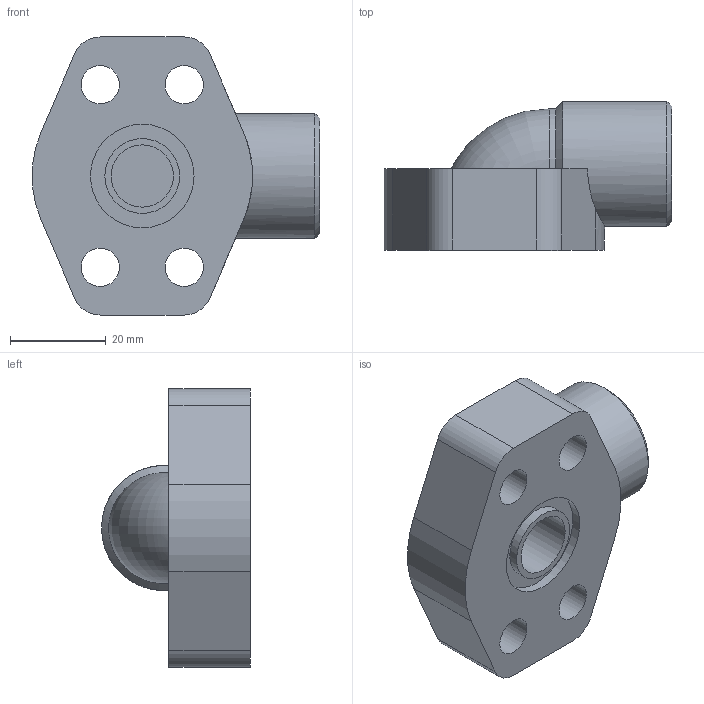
import cadquery as cq
import math

FLANGE_THICKNESS = 17.0
FLANGE_HEIGHT = 58.0
SIDE_RADIUS = 23.0
CORNER_RADIUS = 5.8

BOLT_SPACING_X = 17.5
BOLT_SPACING_Z = 38.1
BOLT_HOLE_DIAMETER = 8.0

PORT_DIAMETER = 13.0
PORT_DEPTH = FLANGE_THICKNESS
GROOVE_INNER_DIAMETER = 15.6
GROOVE_OUTER_DIAMETER = 21.6
GROOVE_DEPTH = 2.0

OUTLET_AXIS_Y = 18.0
OUTLET_END_X = 37.0
COLLAR_RADIUS = 13.04
COLLAR_STEP = 1.5
COLLAR_STEP_START_X = 12.8
COLLAR_END_CHAMFER = 1.0
ELBOW_RADIUS = COLLAR_RADIUS - COLLAR_STEP
BEND_RADIUS = ELBOW_RADIUS


def flange_outline():
    """Hexagonal outline with round sides centred on the port and rounded corners."""
    half_height = FLANGE_HEIGHT / 2
    corner_x = BOLT_SPACING_X / 2
    corner_z = half_height - CORNER_RADIUS

    corner_direction = math.atan2(corner_z, corner_x)
    corner_distance = math.hypot(corner_x, corner_z)
    tangent_angle = corner_direction - math.acos((SIDE_RADIUS - CORNER_RADIUS) / corner_distance)
    side_x = SIDE_RADIUS * math.cos(tangent_angle)
    side_z = SIDE_RADIUS * math.sin(tangent_angle)
    slope_x = corner_x + CORNER_RADIUS * math.cos(tangent_angle)
    slope_z = corner_z + CORNER_RADIUS * math.sin(tangent_angle)

    corner_middle_angle = (tangent_angle + math.pi / 2) / 2
    middle_x = corner_x + CORNER_RADIUS * math.cos(corner_middle_angle)
    middle_z = corner_z + CORNER_RADIUS * math.sin(corner_middle_angle)

    return (
        cq.Workplane("XZ")
        .moveTo(-corner_x, half_height)
        .lineTo(corner_x, half_height)
        .threePointArc((middle_x, middle_z), (slope_x, slope_z))
        .lineTo(side_x, side_z)
        .threePointArc((SIDE_RADIUS, 0), (side_x, -side_z))
        .lineTo(slope_x, -slope_z)
        .threePointArc((middle_x, -middle_z), (corner_x, -half_height))
        .lineTo(-corner_x, -half_height)
        .threePointArc((-middle_x, -middle_z), (-slope_x, -slope_z))
        .lineTo(-side_x, -side_z)
        .threePointArc((-SIDE_RADIUS, 0), (-side_x, side_z))
        .lineTo(-slope_x, slope_z)
        .threePointArc((-middle_x, middle_z), (-corner_x, half_height))
        .close()
    )


def flange():
    return flange_outline().extrude(-FLANGE_THICKNESS)


def elbow():
    """Quarter bend from the port axis to the outlet axis."""
    bend_start_y = OUTLET_AXIS_Y - BEND_RADIUS
    return (
        cq.Workplane("XZ", origin=(0, bend_start_y, 0))
        .circle(ELBOW_RADIUS)
        .revolve(90, (BEND_RADIUS, 0, 0), (BEND_RADIUS, -1, 0))
    )


def outlet():
    """Straight end of the elbow with its thicker collar, turned about the outlet axis."""
    collar_start_x = COLLAR_STEP_START_X + COLLAR_STEP
    chamfer_start_x = OUTLET_END_X - COLLAR_END_CHAMFER
    return (
        cq.Workplane("XY", origin=(0, OUTLET_AXIS_Y, 0))
        .moveTo(BEND_RADIUS, 0)
        .lineTo(BEND_RADIUS, ELBOW_RADIUS)
        .lineTo(COLLAR_STEP_START_X, ELBOW_RADIUS)
        .lineTo(collar_start_x, COLLAR_RADIUS)
        .lineTo(chamfer_start_x, COLLAR_RADIUS)
        .lineTo(OUTLET_END_X, COLLAR_RADIUS - COLLAR_END_CHAMFER)
        .lineTo(OUTLET_END_X, 0)
        .close()
        .revolve(360, (0, 0, 0), (1, 0, 0))
    )


def bolt_holes():
    return (
        cq.Workplane("XZ")
        .rarray(BOLT_SPACING_X, BOLT_SPACING_Z, 2, 2)
        .circle(BOLT_HOLE_DIAMETER / 2)
        .extrude(-FLANGE_THICKNESS)
    )


def port():
    return cq.Workplane("XZ").circle(PORT_DIAMETER / 2).extrude(-PORT_DEPTH)


def seal_groove():
    return (
        cq.Workplane("XZ")
        .circle(GROOVE_OUTER_DIAMETER / 2)
        .circle(GROOVE_INNER_DIAMETER / 2)
        .extrude(-GROOVE_DEPTH)
    )


body = flange().union(elbow()).union(outlet())
result = body.cut(bolt_holes()).cut(port()).cut(seal_groove())